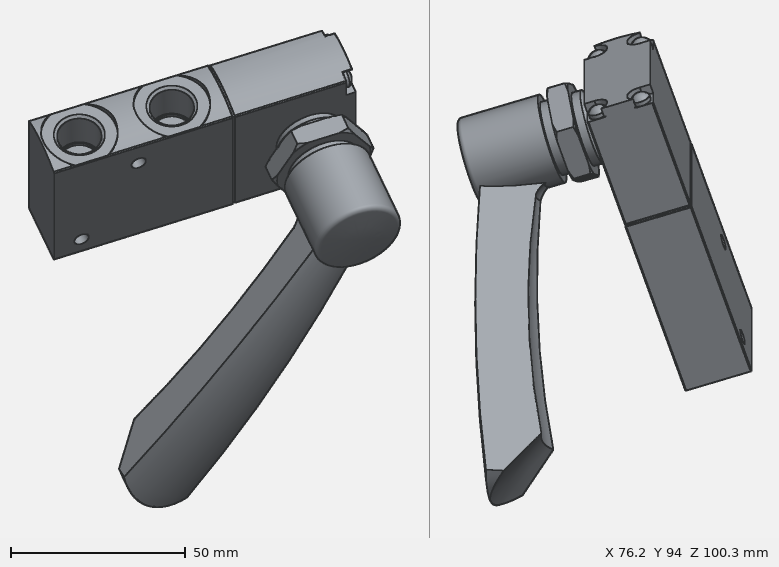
import cadquery as cq
import math


block_width = 20.1
block_bottom = -21.1
shoulder_height = 20.9
crown_height = 22.7
edge_chamfer = 0.35

block_front = -78.4
block_rear = -23.6
port_spacing = 28.4
front_port_y = -66.8
port_face_diameter = 22.0
port_mouth_diameter = 14.6
port_diameter = 12.7
port_core_diameter = 12.0
port_chamfer_depth = 0.7
port_depth = 12.0
port_core_depth = 13.0
mounting_hole_diameter = 4.4
mounting_holes = [(-52.5, 12.9), (-70.0, -15.0)]

cover_rear = 14.2
cover_inset = 0.1
joint_gap = 0.7
joint_inset = 0.4
screw_offset_x = 6.4
screw_offset_z = 18.0
screw_seat_depth = 2.9
screw_seat_diameter = 6.8
screw_head_diameter = 5.6
screw_head_rim = 1.3
screw_dome_height = 1.5
corner_notch_width = 3.2

neck_diameter = 20.4
neck_waist_diameter = 20.2
neck_waist_x = 21.0
collar_diameter = 22.0
collar_start = 22.3

nut_start = 24.9
nut_thickness = 6.3
nut_across_flats = 27.1
nut_face_diameter = 28.7
nut_inner_chamfer = 0.5
nut_outer_chamfer = 0.8

hub_start = 34.3
hub_diameter = 26.4
hub_length = 24.7
hub_edge_radius = 1.5
hub_dome_height = 0.7

arm_axis_x = 33.1
arm_half_angle = 18.6
arm_tilt = 45.0
arm_root_inner = (5.0, 5.0)
arm_root_fillet_start = (5.0, 12.6)
arm_root_fillet_middle = (7.7, 14.0)
arm_root_fillet_end = (9.6, 16.0)
arm_inner_middle = (18.3, 44.1)
arm_inner_end = (24.5, 88.3)
arm_tip = (43.1, 101.3)
arm_outer_middle = (35.8, 53.2)
arm_outer_start = (23.1, 5.0)
arm_end_radius = 20.7

middle_x = block_width / 2


def bar(rear, length, inset):
    """Crowned bar section, shrunk by inset, running from rear toward -Y."""
    left = inset
    right = block_width - inset
    shoulder = shoulder_height - inset
    return (
        cq.Workplane("XZ", origin=(0, rear, 0))
        .moveTo(left, block_bottom + inset)
        .lineTo(right, block_bottom + inset)
        .lineTo(right, shoulder)
        .threePointArc((middle_x, crown_height - inset), (left, shoulder))
        .close()
        .extrude(length)
    )


def shaft_disc(diameter, start, length):
    """Cylinder on the shaft axis."""
    return cq.Workplane("YZ", origin=(start, 0, 0)).circle(diameter / 2).extrude(length)


def port_cutter(y):
    """Turned threaded port with its spot face, entering from the top."""
    face_radius = port_face_diameter / 2
    bore_radius = port_diameter / 2
    core_radius = port_core_diameter / 2
    return (
        cq.Workplane("XZ", origin=(middle_x, y, shoulder_height))
        .polyline([
            (0, crown_height - shoulder_height),
            (face_radius, crown_height - shoulder_height),
            (face_radius, 0),
            (port_mouth_diameter / 2, 0),
            (bore_radius, -port_chamfer_depth),
            (bore_radius, -port_depth),
            (core_radius, -port_depth),
            (core_radius, -port_core_depth),
            (0, -port_core_depth),
        ])
        .close()
        .revolve(360, (0, 0), (0, 1))
    )


def make_valve_block():
    block = bar(block_rear, block_rear - block_front, 0).edges("|Y").chamfer(edge_chamfer)
    for port_y in (front_port_y, front_port_y + port_spacing):
        block = block.cut(port_cutter(port_y))
    holes = (
        cq.Workplane("YZ")
        .pushPoints(mounting_holes)
        .circle(mounting_hole_diameter / 2)
        .extrude(block_width)
    )
    return block.cut(holes)


def screw_seat(side, level):
    """Round screw seat and the notch that opens it to a corner of the cover."""
    seat_floor = cover_rear - screw_seat_depth
    seat = (
        cq.Workplane("XZ", origin=(middle_x, seat_floor, 0))
        .center(side * screw_offset_x, level * screw_offset_z)
        .circle(screw_seat_diameter / 2)
        .extrude(-screw_seat_depth)
    )
    notch_inner_z = screw_offset_z - screw_seat_diameter / 2
    notch_height = crown_height - notch_inner_z
    notch = cq.Workplane("XY").box(corner_notch_width, screw_seat_depth, notch_height).translate((
        middle_x + side * (middle_x - corner_notch_width / 2),
        seat_floor + screw_seat_depth / 2,
        level * (notch_inner_z + notch_height / 2),
    ))
    return seat.union(notch)


def screw_head(side, level):
    """Domed screw head standing on the seat floor."""
    head_radius = screw_head_diameter / 2
    head_height = screw_head_rim + screw_dome_height
    dome_radius = (head_radius**2 + screw_dome_height**2) / (2 * screw_dome_height)
    half_way = head_radius / 2
    half_way_height = head_height - dome_radius + math.sqrt(dome_radius**2 - half_way**2)
    return (
        cq.Workplane("XY")
        .lineTo(head_radius, 0)
        .lineTo(head_radius, screw_head_rim)
        .threePointArc((half_way, half_way_height), (0, head_height))
        .close()
        .revolve(360, (0, 0), (0, 1))
        .translate((
            middle_x + side * screw_offset_x,
            cover_rear - screw_seat_depth,
            level * screw_offset_z,
        ))
    )


def make_neck():
    """Waisted neck and the collar that carries the nut."""
    neck_radius = neck_diameter / 2
    collar_radius = collar_diameter / 2
    return (
        cq.Workplane("XY")
        .moveTo(middle_x, 0)
        .lineTo(middle_x, neck_radius)
        .lineTo(block_width, neck_radius)
        .threePointArc((neck_waist_x, neck_waist_diameter / 2), (collar_start, collar_radius))
        .lineTo(hub_start, collar_radius)
        .lineTo(hub_start, 0)
        .close()
        .revolve(360, (0, 0), (1, 0))
    )


def make_cover():
    joint_start = block_rear + joint_gap
    cover = bar(cover_rear, cover_rear - joint_start, cover_inset).edges("|Y").chamfer(edge_chamfer)
    cover = cover.union(bar(joint_start, joint_gap, joint_inset))
    cover = cover.union(make_neck())
    for side in (-1, 1):
        for level in (-1, 1):
            cover = cover.cut(screw_seat(side, level)).union(screw_head(side, level))
    return cover


def make_nut():
    corner_diameter = nut_across_flats / math.cos(math.radians(30))
    hexagon = (
        cq.Workplane("YZ", origin=(nut_start, 0, 0))
        .polygon(6, corner_diameter)
        .extrude(nut_thickness)
    )
    corner_depth = (corner_diameter - nut_face_diameter) / 2
    chamfered_disc = (
        shaft_disc(corner_diameter, nut_start, nut_thickness)
        .faces("<X")
        .chamfer(nut_inner_chamfer, corner_depth)
        .faces(">X")
        .chamfer(nut_outer_chamfer, corner_depth)
    )
    bore = shaft_disc(collar_diameter, nut_start, nut_thickness)
    return hexagon.intersect(chamfered_disc).cut(bore)


def make_hub():
    """Round hub with a rounded rim and a shallow domed end."""
    radius = hub_diameter / 2
    end_x = hub_start + hub_length
    dome_edge = radius - hub_edge_radius
    dome_radius = (dome_edge**2 + hub_dome_height**2) / (2 * hub_dome_height)
    dome_middle = dome_edge / 2
    dome_middle_x = end_x + hub_dome_height - dome_radius + math.sqrt(dome_radius**2 - dome_middle**2)
    return (
        cq.Workplane("XY")
        .moveTo(hub_start, 0)
        .lineTo(hub_start, radius)
        .lineTo(end_x - hub_edge_radius, radius)
        .radiusArc((end_x, dome_edge), hub_edge_radius)
        .threePointArc((dome_middle_x, dome_middle), (end_x + hub_dome_height, 0))
        .close()
        .revolve(360, (0, 0), (1, 0))
    )


def arm_point(outline_point):
    radius, reach = outline_point
    return (arm_axis_x + radius, -reach)


def make_arm():
    """Curved arm, made hanging straight down and then swung to its angle."""
    sector = (
        cq.Workplane("XZ")
        .moveTo(*arm_point(arm_root_inner))
        .lineTo(*arm_point(arm_root_fillet_start))
        .threePointArc(arm_point(arm_root_fillet_middle), arm_point(arm_root_fillet_end))
        .threePointArc(arm_point(arm_inner_middle), arm_point(arm_inner_end))
        .lineTo(*arm_point(arm_tip))
        .threePointArc(arm_point(arm_outer_middle), arm_point(arm_outer_start))
        .close()
        .revolve(2 * arm_half_angle, (arm_axis_x, 0), (arm_axis_x, 1))
        .rotate((arm_axis_x, 0, 0), (arm_axis_x, 0, 1), -arm_half_angle)
    )
    tip_reach = arm_tip[1]
    end_center_z = arm_end_radius - tip_reach
    rounded_plan = (
        cq.Workplane("YZ")
        .moveTo(-arm_end_radius, 0)
        .lineTo(-arm_end_radius, end_center_z)
        .threePointArc((0, -tip_reach), (arm_end_radius, end_center_z))
        .lineTo(arm_end_radius, 0)
        .close()
        .extrude(arm_axis_x + 2 * arm_tip[0])
    )
    return sector.intersect(rounded_plan).rotate((0, 0, 0), (1, 0, 0), -arm_tilt)


def make_lever():
    return make_hub().union(make_arm())


valve_block = make_valve_block()
cover = make_cover()
nut = make_nut()
lever = make_lever()

result = cq.Compound.makeCompound([
    valve_block.solids().val(),
    cover.solids().val(),
    nut.solids().val(),
    lever.solids().val(),
])